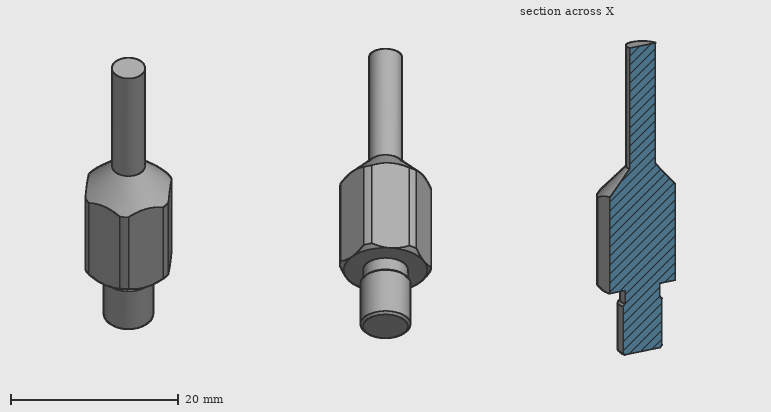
import cadquery as cq
import math

total_length = 38.0
pin_diameter = 4.0
pin_length = 15.0
body_length = 15.0
across_flats = 10.0
corner_diameter = 11.0
neck_diameter = 5.4
neck_length = 1.6
stud_diameter = 6.0
stud_chamfer = 0.3

pin_radius = pin_diameter / 2
corner_radius = corner_diameter / 2
flat_radius = across_flats / 2
neck_radius = neck_diameter / 2
stud_radius = stud_diameter / 2
body_top = total_length - pin_length
body_bottom = body_top - body_length
stud_top = body_bottom - neck_length


def make_body():
    """Hexagon trimmed by a turned blank with a 45 degree cone and bottom chamfer."""
    sharp_corner_diameter = across_flats / math.cos(math.pi / 6)
    hexagon = (
        cq.Workplane("XY")
        .workplane(offset=body_bottom)
        .polygon(6, sharp_corner_diameter)
        .extrude(body_length)
    )
    cone_height = corner_radius - pin_radius
    chamfer_height = corner_radius - flat_radius
    blank = (
        cq.Workplane("XZ")
        .moveTo(0, body_bottom)
        .lineTo(flat_radius, body_bottom)
        .lineTo(corner_radius, body_bottom + chamfer_height)
        .lineTo(corner_radius, body_top - cone_height)
        .lineTo(pin_radius, body_top)
        .lineTo(0, body_top)
        .close()
        .revolve(360, (0, 0, 0), (0, 1, 0))
    )
    return hexagon.intersect(blank)


def make_cylinder(radius, bottom, length):
    return cq.Workplane("XY").workplane(offset=bottom).circle(radius).extrude(length)


def make_stud():
    stud = make_cylinder(stud_radius, 0, stud_top)
    return stud.faces("<Z or >Z").chamfer(stud_chamfer)


pin = make_cylinder(pin_radius, body_top, pin_length)
neck = make_cylinder(neck_radius, stud_top, neck_length)
result = make_body().union(pin).union(neck).union(make_stud())